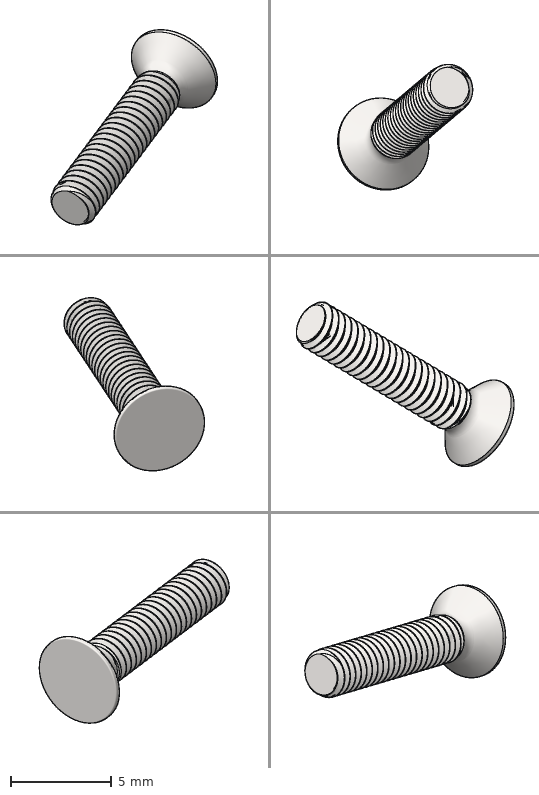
import cadquery as cq
import math

length = 12.0
head_radius = 4.7 / 2
rim_height = 0.25
rim_fillet_radius = 0.07

neck_radius = 1.12
neck_end_depth = 1.9
blend_radius = 0.72
countersink_angle = math.radians(45)

four_turn_advance = 1.8
pitch = four_turn_advance / 4
major_radius = 2.5 / 2
minor_radius = 0.97
crest_width = pitch / 8
flank_half_angle = math.radians(30)
thread_phase_depth = 2.28
tip_radius = 1.05
tip_chamfer = major_radius - tip_radius
runout_start_depth = 1.84
runout_length = 0.34
ridge_embed = 0.06
trim_radius = 1.8
trim_length = 2.4


def make_head():
    """Rim, countersink, blend and plain neck, revolved about the Y axis."""
    blend_start_radius = neck_radius + blend_radius * (1 - math.cos(countersink_angle))
    cone_height = (head_radius - blend_start_radius) / math.tan(countersink_angle)
    blend_start_depth = rim_height + cone_height
    blend_end_depth = blend_start_depth + blend_radius * math.sin(countersink_angle)
    half_angle = countersink_angle / 2
    blend_mid_radius = neck_radius + blend_radius * (1 - math.cos(half_angle))
    blend_mid_depth = blend_end_depth - blend_radius * math.sin(half_angle)
    return (
        cq.Workplane("XY")
        .lineTo(head_radius, 0)
        .lineTo(head_radius, -rim_height)
        .lineTo(blend_start_radius, -blend_start_depth)
        .threePointArc((blend_mid_radius, -blend_mid_depth), (neck_radius, -blend_end_depth))
        .lineTo(neck_radius, -neck_end_depth)
        .lineTo(0, -neck_end_depth)
        .close()
        .revolve(360, (0, 0, 0), (0, 1, 0))
        .faces(">Y")
        .edges()
        .fillet(rim_fillet_radius)
    )


def make_core():
    """Cylinder at the thread root, from the head face to the tip."""
    return cq.Workplane("XZ").circle(minor_radius).extrude(length)


def make_end_trim(end_depth, end_radius, taper_length, inward):
    """Cutter that removes all thread beyond one end and tapers the crest towards that end.

    The crest grows from end_radius to major_radius over taper_length. The value of inward
    is the direction along Y into the thread, +1 or -1.
    """
    taper_slope = taper_length / (major_radius - end_radius)
    end_y = -end_depth
    far_y = end_y - inward * trim_length
    taper_y = end_y + inward * (trim_radius - end_radius) * taper_slope
    return (
        cq.Workplane("XY")
        .moveTo(0, far_y)
        .lineTo(trim_radius, far_y)
        .lineTo(trim_radius, taper_y)
        .lineTo(end_radius, end_y)
        .lineTo(0, end_y)
        .close()
        .revolve(360, (0, 0, 0), (0, 1, 0))
    )


def make_ridge():
    """Helical ridge that runs past both ends of the threaded length."""
    turns_above = math.ceil((thread_phase_depth - runout_start_depth) / pitch) + 1
    start_depth = thread_phase_depth - turns_above * pitch
    turns = math.ceil((length - start_depth) / pitch) + 1
    half_crest = crest_width / 2
    half_root = half_crest + (major_radius - minor_radius) * math.tan(flank_half_angle)
    path = cq.Wire.makeHelix(pitch, turns * pitch, minor_radius)
    ridge = (
        cq.Workplane("XZ")
        .moveTo(minor_radius - ridge_embed, -half_root)
        .lineTo(minor_radius, -half_root)
        .lineTo(major_radius, -half_crest)
        .lineTo(major_radius, half_crest)
        .lineTo(minor_radius, half_root)
        .lineTo(minor_radius - ridge_embed, half_root)
        .close()
        .sweep(cq.Workplane(path), isFrenet=True)
    )
    return ridge.rotate((0, 0, 0), (1, 0, 0), 90).translate((0, -start_depth, 0))


neck_trim = make_end_trim(runout_start_depth, neck_radius, runout_length, inward=-1)
tip_trim = make_end_trim(length, tip_radius, tip_chamfer, inward=1)
thread = make_ridge().cut(neck_trim).cut(tip_trim)
result = make_core().union(thread).union(make_head())